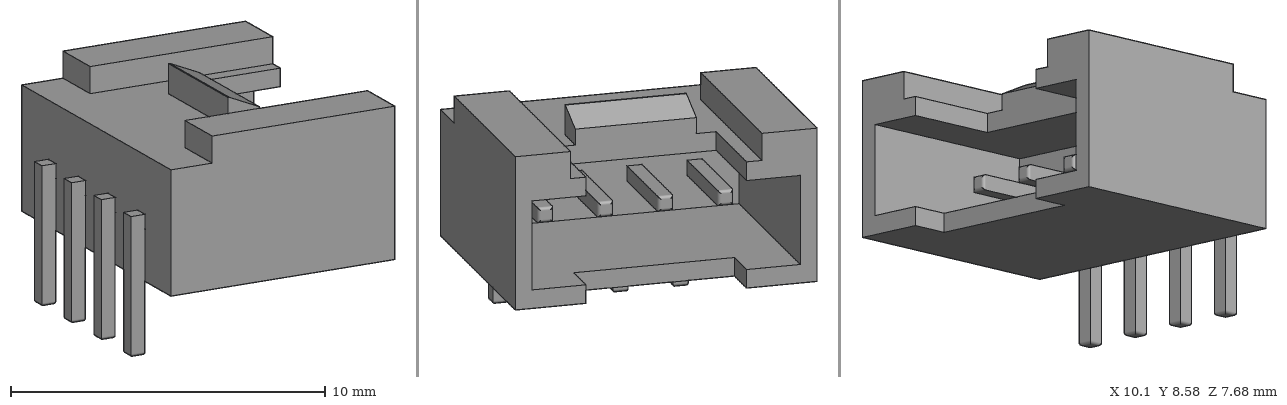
import cadquery as cq

housing_width = 10.05
housing_depth = 8.08
deck_height = 4.22

rail_width = 1.84
rail_height = 0.9
rail_start = 1.49

side_wall = 0.56
deck_wall = 0.62
floor_wall = deck_wall
rear_wall = rail_start
cavity_height = deck_height - floor_wall - deck_wall

notch_width = 5.35
deck_notch_start = 4.8
floor_notch_start = 6.77

rib_width = 4.03
rib_start = 3.68
rib_height = 1.0
rib_ramp_end_height = 0.53
rib_crest = 0.05

pin_count = 4
pin_pitch = 2.0
pin_row_offset = 0.02
pin_size = 0.5
pin_top = 2.24
pin_bottom = -2.46
pin_tip = 4.86
tip_radius = 0.1


def block(width, y_start, y_end, z_start, z_end, x_center=0.0):
    """Box centred on x_center, between the given Y and Z limits."""
    box = cq.Workplane("XY").box(width, y_end - y_start, z_end - z_start, centered=(True, False, False))
    return box.translate((x_center, y_start, z_start))


def pin_positions():
    """X positions of the pin centres."""
    return [pin_row_offset + (i - (pin_count - 1) / 2) * pin_pitch for i in range(pin_count)]


def make_rib():
    """Locking rib with a vertical rear face, a narrow crest and a ramp."""
    rib_top = deck_height + rib_height
    return (
        cq.Workplane("YZ", origin=(-rib_width / 2, 0, 0))
        .moveTo(rib_start, deck_height)
        .lineTo(rib_start, rib_top)
        .lineTo(rib_start + rib_crest, rib_top)
        .lineTo(deck_notch_start, deck_height + rib_ramp_end_height)
        .lineTo(deck_notch_start, deck_height)
        .close()
        .extrude(rib_width)
    )


def make_housing():
    """Hollow shell with rails, mouth notches, locking rib and pin holes."""
    shell = block(housing_width, 0, housing_depth, 0, deck_height)

    rail_offset = (housing_width - rail_width) / 2
    for x_center in (-rail_offset, rail_offset):
        rail_top = deck_height + rail_height
        shell = shell.union(block(rail_width, rail_start, housing_depth, deck_height, rail_top, x_center))
    shell = shell.union(make_rib())

    cavity_width = housing_width - 2 * side_wall
    cavity_top = floor_wall + cavity_height
    shell = shell.cut(block(cavity_width, rear_wall, housing_depth, floor_wall, cavity_top))
    shell = shell.cut(block(notch_width, deck_notch_start, housing_depth, cavity_top, deck_height))
    shell = shell.cut(block(notch_width, floor_notch_start, housing_depth, 0, floor_wall))

    for x_center in pin_positions():
        shell = shell.cut(block(pin_size, 0, rear_wall, pin_top - pin_size, pin_top, x_center))
    return shell


def make_pin(x_center):
    """Square L-shaped pin: a leg behind the housing and a contact through its rear wall."""
    leg = block(pin_size, -pin_size, 0, pin_bottom, pin_top, x_center)
    contact = block(pin_size, 0, pin_tip, pin_top - pin_size, pin_top, x_center)
    leg = leg.faces("<Z").edges().fillet(tip_radius)
    contact = contact.faces(">Y").edges().fillet(tip_radius)
    return leg.union(contact)


housing = make_housing()
pins = [make_pin(x_center).val() for x_center in pin_positions()]

result = cq.Compound.makeCompound([housing.val(), *pins])